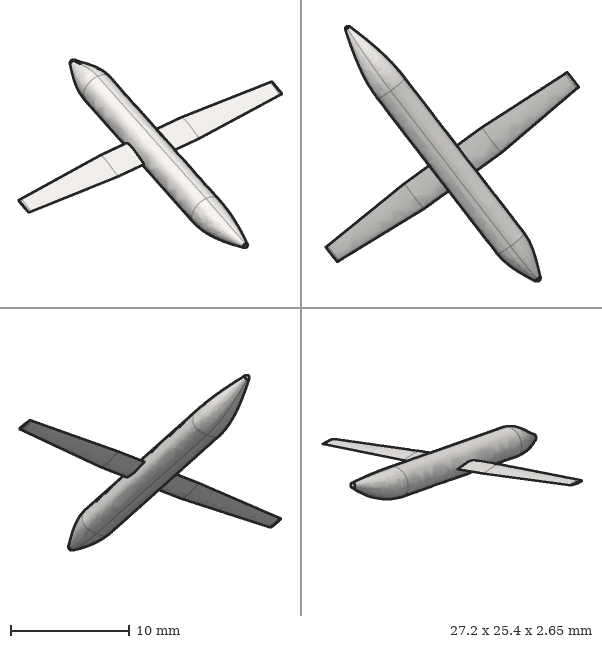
import cadquery as cq
import math

overall_length = 27.17
barrel_start = 4.04
barrel_end = 20.93
barrel_half_width = 1.45
barrel_half_height = 1.325
barrel_waist_z = -0.22
belly_exponent = 2.5
round_exponent = 2.0

nose_cap_length = 0.27
nose_cap_radius = 0.33
nose_cap_z = -0.41
nose_top_slope = 0.45
nose_belly_slope = -0.40
nose_side_slope = 0.45

tail_cap_length = 0.12
tail_cap_radius = 0.23
tail_cap_z = 0.96
tail_top_slope = -0.03
tail_belly_slope = 0.57
tail_side_slope = -0.33

sections_per_taper = 6
points_per_quarter = 6

root_chord = 2.79
root_leading_x = 10.76
root_leading_z = -0.09
tip_chord = 1.65
tip_leading_x = 11.42
tip_leading_z = -0.05
break_y = 4.08
tip_y = 12.50
half_span = 12.72
incidence = 2.5
trailing_edge_half = 0.004
upper_surface = [(0.03, 0.035), (0.12, 0.068), (0.32, 0.088), (0.65, 0.058)]
lower_surface = [(0.03, -0.030), (0.15, -0.062), (0.40, -0.084), (0.70, -0.046)]
tip_round_steps = 4
tip_end_thickness = 0.4


def hermite(t, length, start, end, start_slope, end_slope):
    """Cubic through two end values with the given end slopes."""
    return (
        start * (2 * t**3 - 3 * t**2 + 1)
        + end * (3 * t**2 - 2 * t**3)
        + length * start_slope * (t**3 - 2 * t**2 + t)
        + length * end_slope * (t**3 - t**2)
    )


def body_half(side, x, top, bottom, half_width, waist_z, lower_exponent):
    """Half section from crown to keel; side is 1 for +Y and -1 for -Y."""
    points = []
    count = 2 * points_per_quarter
    for i in range(count + 1):
        angle = math.pi * i / count
        across = math.sin(angle)
        up = math.cos(angle)
        upper = i <= points_per_quarter
        power = 2 / (round_exponent if upper else lower_exponent)
        height = top - waist_z if upper else waist_z - bottom
        y = 0 if i in (0, count) else side * half_width * across**power
        z = waist_z + math.copysign(height * abs(up) ** power, up)
        points.append(cq.Vector(x, y, z))
    outward = cq.Vector(0, side, 0)
    return cq.Edge.makeSpline(points, tangents=[outward, -outward])


def body_section(*shape):
    """Closed section: elliptical crown over a superelliptical belly."""
    return cq.Wire.assembleEdges([body_half(1, *shape), body_half(-1, *shape)])


def body_taper(barrel_x, cap_x, cap_z, cap_radius, top_slope, belly_slope, side_slope):
    """Loft from the barrel section to the round base of an end cap."""
    length = cap_x - barrel_x
    sections = []
    for i in range(sections_per_taper):
        t = i / (sections_per_taper - 1)
        top = hermite(t, length, barrel_half_height, cap_z + cap_radius, 0, top_slope)
        bottom = hermite(t, length, -barrel_half_height, cap_z - cap_radius, 0, belly_slope)
        half_width = hermite(t, length, barrel_half_width, cap_radius, 0, side_slope)
        barrel_share = (barrel_waist_z + barrel_half_height) / (2 * barrel_half_height)
        waist_share = barrel_share + t * (0.5 - barrel_share)
        waist_z = bottom + waist_share * (top - bottom)
        exponent = belly_exponent + t * (round_exponent - belly_exponent)
        x = barrel_x + t * length
        sections.append(body_section(x, top, bottom, half_width, waist_z, exponent))
    return cq.Workplane(cq.Solid.makeLoft(sections))


def end_cap(base_x, tip_x, z, radius):
    """Half ellipsoid of revolution about a line parallel to X."""
    diagonal = math.sqrt(0.5)
    middle = (base_x + (tip_x - base_x) * diagonal, z + radius * diagonal)
    profile = (
        cq.Workplane("XZ")
        .moveTo(base_x, z)
        .lineTo(base_x, z + radius)
        .spline([middle, (tip_x, z)], tangents=[(tip_x - base_x, 0), (0, -radius)], includeCurrent=True)
        .close()
    )
    return profile.revolve(360, (base_x, z), (tip_x, z))


def barrel():
    section = body_section(
        barrel_start,
        barrel_half_height,
        -barrel_half_height,
        barrel_half_width,
        barrel_waist_z,
        belly_exponent,
    )
    length = barrel_end - barrel_start
    return cq.Workplane(cq.Solid.extrudeLinear(section, [], cq.Vector(length, 0, 0)))


def airfoil(y, leading_x, leading_z, chord, thickness=1.0):
    """Airfoil section at span station y, turned nose-up by the incidence."""
    tilt = math.radians(incidence)

    def place(point):
        u = point[0] * chord
        v = point[1] * chord * thickness
        x = leading_x + u * math.cos(tilt) + v * math.sin(tilt)
        z = leading_z - u * math.sin(tilt) + v * math.cos(tilt)
        return cq.Vector(x, y, z)

    upper_end = (1, trailing_edge_half)
    lower_end = (1, -trailing_edge_half)
    outline = [upper_end] + upper_surface[::-1] + [(0, 0)] + lower_surface + [lower_end]
    skin = cq.Edge.makeSpline([place(p) for p in outline])
    trailing_edge = cq.Edge.makeLine(place(lower_end), place(upper_end))
    return cq.Wire.assembleEdges([skin, trailing_edge])


def wing_panel(*sections):
    return cq.Workplane(cq.Solid.makeLoft(list(sections), True))


def root_airfoil(y):
    return airfoil(y, root_leading_x, root_leading_z, root_chord)


def tip_airfoil(y, thickness=1.0):
    return airfoil(y, tip_leading_x, tip_leading_z, tip_chord, thickness)


def rounded_tip():
    """Tip of the +Y side, thinning along an elliptic arc to a narrow flat end."""
    sections = []
    end_angle = math.acos(tip_end_thickness)
    for i in range(tip_round_steps + 1):
        angle = end_angle * i / tip_round_steps
        y = tip_y + (half_span - tip_y) * math.sin(angle) / math.sin(end_angle)
        sections.append(tip_airfoil(y, math.cos(angle)))
    return cq.Workplane(cq.Solid.makeLoft(sections))


nose_base = nose_cap_length
tail_base = overall_length - tail_cap_length

nose = body_taper(
    barrel_start, nose_base, nose_cap_z, nose_cap_radius, nose_top_slope, nose_belly_slope, nose_side_slope
)
tail = body_taper(
    barrel_end, tail_base, tail_cap_z, tail_cap_radius, tail_top_slope, tail_belly_slope, tail_side_slope
)
nose_cap = end_cap(nose_base, 0, nose_cap_z, nose_cap_radius)
tail_cap = end_cap(tail_base, overall_length, tail_cap_z, tail_cap_radius)
fuselage = barrel()
for piece in (nose, tail, nose_cap, tail_cap):
    fuselage = fuselage.union(piece, clean=False)

wing = wing_panel(root_airfoil(-break_y), root_airfoil(break_y))
for piece in (wing_panel(root_airfoil(break_y), tip_airfoil(tip_y)), rounded_tip()):
    wing = wing.union(piece, clean=False).union(piece.mirror("XZ"), clean=False)

result = fuselage.union(wing, clean=False)